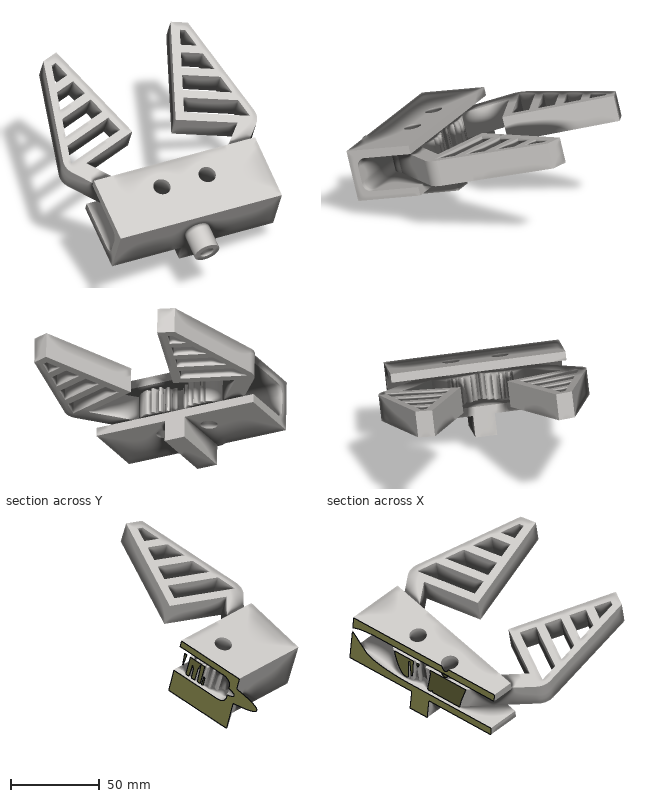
import cadquery as cq
import math


ROLL = -5.3
PITCH = 11.8
YAW = -12.6

CHANNEL_LENGTH = 100.0
CHANNEL_DEPTH = 40.0
CHANNEL_HEIGHT = 30.0
WALL = 5.0
INNER_FILLET = 5.0
PIVOT_SPACING = 28.0
PIVOT_SETBACK = 15.0
PIVOT_BORE = 10.0
RAIL_SIDE = 12.5
BOSS_DIAMETER = 15.0
BOSS_LENGTH = 15.0
BOSS_BORE = 8.0

FINGER_THICKNESS = 15.0
GRIP_OFFSET = 15.0
PAD_BACK_X = -40.0
TIP_WIDTH = 10.0
OUTER_EDGE_ANGLE = 32.3
SLOT_COUNT = 4
SLOT_WIDTH = 10.0
RIB = 5.0
ARM_ANGLE = 21.8
ARM_INNER_OFFSET = 4.2
ARM_WIDTH = 10.0
KNUCKLE_RADIUS = 10.0
COLLAR_DIAMETER = 12.0

TOOTH_PITCH = 18
TIP_RADIUS = 15.0
ROOT_RADIUS = 12.5
TOOTH_EMBED = 1.2
TOOTH_TIP_WIDTH = 1.2
TOOTH_ROOT_WIDTH = 3.0

NEAR_SWING = 19.5
FAR_SWING = 20.0

FRONT_X = -PIVOT_SETBACK
BACK_X = FRONT_X + CHANNEL_DEPTH
PAD_TIP_X = PAD_BACK_X - RIB - SLOT_COUNT * (SLOT_WIDTH + RIB)
PIVOT_Y = PIVOT_SPACING / 2
OUTER_SLOPE = math.tan(math.radians(OUTER_EDGE_ANGLE))
ARM_SLOPE = math.tan(math.radians(ARM_ANGLE))


def make_housing():
    """Channel with rounded inner corners, a rail below and a bored boss at the back."""
    middle_x = FRONT_X + CHANNEL_DEPTH / 2
    body = cq.Workplane("XY").box(CHANNEL_DEPTH, CHANNEL_LENGTH, CHANNEL_HEIGHT)
    cavity = (
        cq.Workplane("XY")
        .box(CHANNEL_DEPTH, CHANNEL_LENGTH, CHANNEL_HEIGHT - 2 * WALL)
        .edges(">X and |Y")
        .fillet(INNER_FILLET)
        .translate((-WALL, 0, 0))
    )
    body = body.cut(cavity).translate((middle_x, 0, 0))

    rail = (
        cq.Workplane("XY")
        .box(CHANNEL_DEPTH, RAIL_SIDE, RAIL_SIDE)
        .translate((middle_x, 0, -(CHANNEL_HEIGHT + RAIL_SIDE) / 2))
    )
    boss = cq.Workplane("YZ", origin=(BACK_X, 0, 0)).circle(BOSS_DIAMETER / 2).extrude(BOSS_LENGTH)
    boss_bore = (
        cq.Workplane("YZ", origin=(BACK_X - WALL, 0, 0))
        .circle(BOSS_BORE / 2)
        .extrude(WALL + BOSS_LENGTH)
    )
    pivot_bores = (
        cq.Workplane("XY")
        .pushPoints([(0, -PIVOT_Y), (0, PIVOT_Y)])
        .circle(PIVOT_BORE / 2)
        .extrude(CHANNEL_HEIGHT, both=True)
    )
    return body.cut(pivot_bores).union(rail).union(boss).cut(boss_bore)


def plate(sketch):
    """Extrude a flat outline to the finger's thickness, centred on the pivot plane."""
    return sketch.extrude(FINGER_THICKNESS / 2, both=True)


def outer_edge_y(x):
    """Height of the pad's slanted outer edge at x."""
    return GRIP_OFFSET - TIP_WIDTH - OUTER_SLOPE * (x - PAD_TIP_X)


def arm_edge_y(x, offset):
    """Height at x of an arm edge that passes the pivot at the given distance."""
    return ARM_SLOPE * x - offset / math.cos(math.radians(ARM_ANGLE))


def arm_end(offset):
    """Foot of the perpendicular from the pivot to an arm edge."""
    angle = math.radians(ARM_ANGLE)
    return (offset * math.sin(angle), -offset * math.cos(angle))


def make_pad_and_arm():
    """Slotted triangular pad and the arm that carries it, with a rounded knuckle."""
    arm_outer_offset = ARM_INNER_OFFSET + ARM_WIDTH
    arm_outer_rise = outer_edge_y(0) - arm_edge_y(0, arm_outer_offset)
    knuckle_x = arm_outer_rise / (OUTER_SLOPE + ARM_SLOPE)
    knuckle = (knuckle_x, outer_edge_y(knuckle_x))
    body = plate(
        cq.Workplane("XY").polyline([
            (PAD_TIP_X, GRIP_OFFSET),
            (PAD_BACK_X, GRIP_OFFSET),
            (PAD_BACK_X, arm_edge_y(PAD_BACK_X, ARM_INNER_OFFSET)),
            arm_end(ARM_INNER_OFFSET),
            arm_end(arm_outer_offset),
            knuckle,
            (PAD_TIP_X, outer_edge_y(PAD_TIP_X)),
        ]).close()
    )
    body = body.edges(cq.selectors.NearestToPointSelector((*knuckle, 0))).fillet(KNUCKLE_RADIUS)

    slot_top = GRIP_OFFSET - RIB
    for index in range(SLOT_COUNT):
        right = PAD_BACK_X - RIB - index * (SLOT_WIDTH + RIB)
        left = right - SLOT_WIDTH
        slot = plate(
            cq.Workplane("XY").polyline([
                (left, slot_top),
                (right, slot_top),
                (right, outer_edge_y(right) + RIB),
                (left, outer_edge_y(left) + RIB),
            ]).close()
        )
        body = body.cut(slot)
    return body


def make_gear_sector(first_tooth):
    """Disc with a smooth half on the arm's side and teeth on the other half."""
    gear = plate(cq.Workplane("XY").circle(ROOT_RADIUS))
    smooth_half = plate(
        cq.Workplane("XY")
        .moveTo(-TIP_RADIUS, 0)
        .threePointArc((0, -TIP_RADIUS), (TIP_RADIUS, 0))
        .close()
    )
    gear = gear.union(smooth_half)

    foot_x = ROOT_RADIUS - TOOTH_EMBED
    tooth = plate(
        cq.Workplane("XY").polyline([
            (foot_x, -TOOTH_ROOT_WIDTH / 2),
            (ROOT_RADIUS, -TOOTH_ROOT_WIDTH / 2),
            (TIP_RADIUS, -TOOTH_TIP_WIDTH / 2),
            (TIP_RADIUS, TOOTH_TIP_WIDTH / 2),
            (ROOT_RADIUS, TOOTH_ROOT_WIDTH / 2),
            (foot_x, TOOTH_ROOT_WIDTH / 2),
        ]).close()
    )
    for angle in range(first_tooth, 180 + TOOTH_PITCH // 2, TOOTH_PITCH):
        gear = gear.union(tooth.rotate((0, 0, 0), (0, 0, 1), angle))
    return gear


def make_finger(first_tooth, swing):
    """One finger, swung about its pivot; its teeth face +Y and a collar spaces it in the channel."""
    finger = make_pad_and_arm().union(make_gear_sector(first_tooth))
    collar_height = CHANNEL_HEIGHT - 2 * WALL
    finger = finger.union(cq.Workplane("XY").circle(COLLAR_DIAMETER / 2).extrude(collar_height / 2, both=True))
    finger = finger.cut(cq.Workplane("XY").circle(PIVOT_BORE / 2).extrude(collar_height, both=True))
    return finger.rotate((0, 0, 0), (0, 0, 1), swing).translate((0, -PIVOT_Y, 0))


def tilt(body):
    """Turn a body from the working frame to the gripper's attitude."""
    for axis, angle in [((1, 0, 0), ROLL), ((0, 1, 0), PITCH), ((0, 0, 1), YAW)]:
        body = body.rotate((0, 0, 0), axis, angle)
    return body


housing = tilt(make_housing())
near_finger = tilt(make_finger(TOOTH_PITCH // 2, NEAR_SWING))
far_finger = tilt(make_finger(0, FAR_SWING).mirror("XZ"))

result = cq.Compound.makeCompound([housing.val(), near_finger.val(), far_finger.val()])